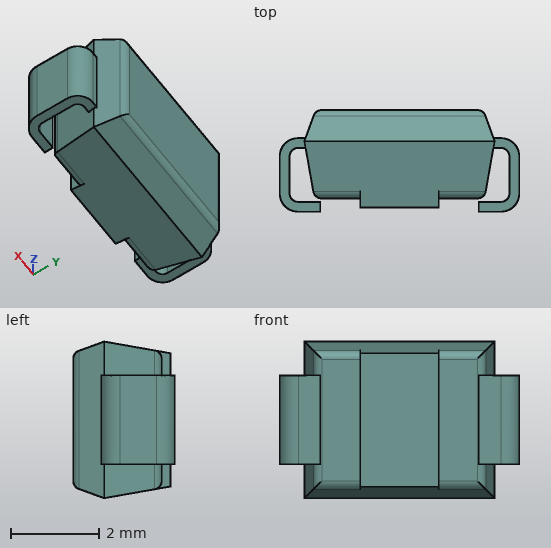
import cadquery as cq

body_length = 4.32
body_width = 3.56
back_depth = 0.705
front_depth = 1.305
back_draft = 20
front_draft = 10
edge_radius = 0.2

pad_length = 1.79
pad_depth = 1.505

lead_span = 5.44
lead_thickness = 0.23
lead_width = 2.025
lead_back = 0.07
lead_height = 1.675
foot_length = 0.925
bend_radius = 0.42
lead_embed = 0.22


def tapered_block(depth, draft, side):
    """Drafted block from the parting plane towards +Y (side = 1) or -Y (side = -1)."""
    plane = cq.Plane(origin=(0, 0, 0), xDir=(1, 0, 0), normal=(0, side, 0))
    return cq.Workplane(plane).rect(body_length, body_width).extrude(depth, taper=draft)


def make_body():
    back = tapered_block(back_depth, back_draft, 1).faces(">Y").edges().fillet(edge_radius)
    front = tapered_block(front_depth, front_draft, -1).faces("<Y").edges().fillet(edge_radius)
    return back.union(front)


def make_pad():
    limits = cq.Workplane("XY").box(pad_length, 2 * pad_depth, body_width)
    return tapered_block(pad_depth, front_draft, -1).intersect(limits)


def make_left_lead():
    outer_x = -lead_span / 2
    back_end = -body_length / 2 + lead_embed
    foot_end = outer_x + foot_length
    front_y = lead_back - lead_height
    inner_x = outer_x + lead_thickness
    inner_back = lead_back - lead_thickness
    inner_front = front_y + lead_thickness
    inner_radius = bend_radius - lead_thickness
    return (
        cq.Workplane("XY", origin=(0, 0, -lead_width / 2))
        .moveTo(back_end, lead_back)
        .lineTo(outer_x + bend_radius, lead_back)
        .tangentArcPoint((outer_x, lead_back - bend_radius), relative=False)
        .lineTo(outer_x, front_y + bend_radius)
        .tangentArcPoint((outer_x + bend_radius, front_y), relative=False)
        .lineTo(foot_end, front_y)
        .lineTo(foot_end, inner_front)
        .lineTo(inner_x + inner_radius, inner_front)
        .tangentArcPoint((inner_x, inner_front + inner_radius), relative=False)
        .lineTo(inner_x, inner_back - inner_radius)
        .tangentArcPoint((inner_x + inner_radius, inner_back), relative=False)
        .lineTo(back_end, inner_back)
        .close()
        .extrude(lead_width)
    )


left_lead = make_left_lead()
right_lead = left_lead.mirror("YZ")
result = make_body().union(make_pad()).union(left_lead).union(right_lead)